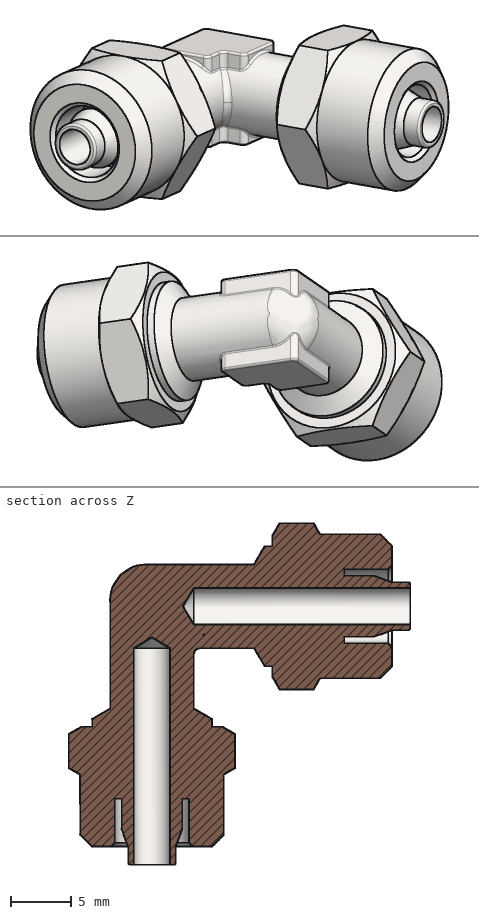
import cadquery as cq
import math

overall_length = 28.43

neck_d = 7.0
outer_bend_r = 3.0
inner_bend_r = 0.5

collar_start = 8.5
hex_start = 10.0
hex_end = 14.0
barrel_end = 20.0

collar_d = 10.0
collar_angle = 30
nut_d = 12.0
nut_end_chamfer = 1.0
hex_sides = 6
hex_flats = nut_d
hex_corners = hex_flats / math.cos(math.pi / hex_sides)
hex_chamfer_angle = 30
hex_inner_face_d = 11.7

socket_d = 6.15
socket_chamfer = 0.35
socket_floor = 16.0
spigot_d = 4.0
spigot_root_d = 5.1
spigot_cone_length = 1.5
spigot_end = overall_length - hex_corners / 2
spigot_tip_fillet = 0.2
bore_d = 3.0
bore_end = 3.5
bore_cone_half_angle = 59

pad_side = 2.42
pad_reach = 4.6
pad_height = 8.0
pad_corner_r = 0.5
pad_edge_fillet = 0.2
pad_foot_fillet = 0.2


def revolve_about_x(points):
    """Solid of revolution about X from a closed outline of (x, radius) points."""
    return cq.Workplane("XY").polyline(points).close().revolve(360, (0, 0, 0), (1, 0, 0))


def make_pads():
    outline = [
        (-pad_side, pad_side),
        (pad_reach, pad_side),
        (pad_reach, -pad_side),
        (pad_side, -pad_side),
        (pad_side, -pad_reach),
        (-pad_side, -pad_reach),
    ]
    block = cq.Workplane("XY").polyline(outline).close().extrude(pad_height / 2, both=True)
    block = block.edges("|Z").fillet(pad_corner_r)
    return block.faces("<Z or >Z").edges().fillet(pad_edge_fillet)


def fillet_nearest_edge(body, point, radius):
    """Round the edge nearest to a point, together with the edges that continue it smoothly."""
    return body.edges(cq.selectors.NearestToPointSelector(point)).fillet(radius)


def make_elbow():
    neck_r = neck_d / 2
    path = cq.Workplane("XY").polyline([(0, -hex_start), (0, 0), (hex_start, 0)])
    neck = (
        cq.Workplane("XZ", origin=(0, -hex_start, 0))
        .circle(neck_r)
        .sweep(path, transition="right")
    )
    elbow = neck.union(make_pads())
    elbow = fillet_nearest_edge(elbow, (-neck_r, neck_r, 0), outer_bend_r)
    elbow = fillet_nearest_edge(elbow, (neck_r, -neck_r, 0), inner_bend_r)
    foot_z = math.sqrt(neck_r**2 - pad_side**2)
    foot_y = (pad_side - pad_reach) / 2
    for side in (1, -1):
        elbow = fillet_nearest_edge(elbow, (-pad_side, foot_y, side * foot_z), pad_foot_fillet)
    return elbow


def make_collar():
    cone_length = (collar_d - neck_d) / 2 * math.tan(math.radians(collar_angle))
    return revolve_about_x([
        (collar_start, 0),
        (collar_start, neck_d / 2),
        (collar_start + cone_length, collar_d / 2),
        (hex_end, collar_d / 2),
        (hex_end, 0),
    ])


def make_hexagon():
    slope = math.tan(math.radians(hex_chamfer_angle))
    corner_r = hex_corners / 2
    prism = (
        cq.Workplane("YZ", origin=(hex_start, 0, 0))
        .polygon(hex_sides, hex_corners)
        .extrude(hex_end - hex_start)
    )
    inner_face_r = hex_inner_face_d / 2
    outer_face_r = nut_d / 2
    chamfered = revolve_about_x([
        (hex_start, 0),
        (hex_start, inner_face_r),
        (hex_start + (corner_r - inner_face_r) * slope, corner_r),
        (hex_end - (corner_r - outer_face_r) * slope, corner_r),
        (hex_end, outer_face_r),
        (hex_end, 0),
    ])
    return prism.intersect(chamfered)


def make_barrel():
    barrel = (
        cq.Workplane("YZ", origin=(hex_end, 0, 0))
        .circle(nut_d / 2)
        .extrude(barrel_end - hex_end)
    )
    return barrel.faces(">X").chamfer(nut_end_chamfer)


def make_socket():
    socket_r = socket_d / 2
    return revolve_about_x([
        (socket_floor, 0),
        (socket_floor, socket_r),
        (barrel_end - socket_chamfer, socket_r),
        (barrel_end, socket_r + socket_chamfer),
        (barrel_end, 0),
    ])


def make_spigot():
    spigot = revolve_about_x([
        (socket_floor, 0),
        (socket_floor, spigot_root_d / 2),
        (barrel_end - spigot_cone_length, spigot_root_d / 2),
        (barrel_end, spigot_d / 2),
        (spigot_end, spigot_d / 2),
        (spigot_end, 0),
    ])
    return spigot.faces(">X").edges().fillet(spigot_tip_fillet)


def make_bore():
    cone_length = bore_d / 2 / math.tan(math.radians(bore_cone_half_angle))
    return revolve_about_x([
        (bore_end - cone_length, 0),
        (bore_end, bore_d / 2),
        (spigot_end, bore_d / 2),
        (spigot_end, 0),
    ])


def on_both_legs(body):
    """The body on the +X leg together with its copy on the -Y leg."""
    return [body, body.rotate((0, 0, 0), (0, 0, 1), -90)]


fitting = make_collar().union(make_hexagon()).union(make_barrel())
fitting = fitting.cut(make_socket()).union(make_spigot())

result = make_elbow()
for leg in on_both_legs(fitting):
    result = result.union(leg)
for bore in on_both_legs(make_bore()):
    result = result.cut(bore)